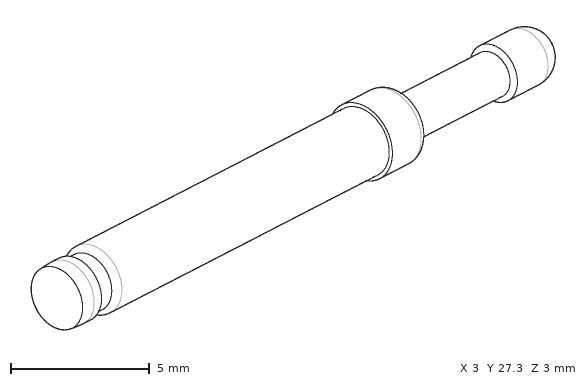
import cadquery as cq
import math

LENGTH = 27.3

HEAD_DIAMETER = 2.25
PLUNGER_DIAMETER = 1.77
COLLAR_DIAMETER = 3.0
BARREL_DIAMETER = 2.7
NECK_DIAMETER = 2.25
TAIL_DIAMETER = 2.5
TAIL_END_DIAMETER = 2.43

HEAD_LENGTH = 2.98
COLLAR_LENGTH = 2.02
TAIL_LENGTH = 1.0
NECK_LENGTH = 0.75
PLUNGER_LENGTH = 5.3

HEAD_TAPER_LENGTH = 0.15
COLLAR_FILLET = 0.4
BARREL_FILLET = 0.3
TAIL_CROWN_LENGTH = 0.6

barrel_start = TAIL_LENGTH + NECK_LENGTH
head_start = LENGTH - HEAD_LENGTH
collar_end = head_start - PLUNGER_LENGTH
collar_start = collar_end - COLLAR_LENGTH

head_radius = HEAD_DIAMETER / 2
plunger_radius = PLUNGER_DIAMETER / 2
collar_radius = COLLAR_DIAMETER / 2
barrel_radius = BARREL_DIAMETER / 2
neck_radius = NECK_DIAMETER / 2
tail_radius = TAIL_DIAMETER / 2
tail_end_radius = TAIL_END_DIAMETER / 2

crown_drop = tail_radius - tail_end_radius
crown_arc_radius = (TAIL_CROWN_LENGTH**2 + crown_drop**2) / (2 * crown_drop)


def add_arc(profile, center, radius, start_angle, end_angle):
    """Continue the profile along an arc; angles are in degrees from +X."""
    middle_angle = (start_angle + end_angle) / 2
    middle, end = [
        (
            center[0] + radius * math.cos(math.radians(angle)),
            center[1] + radius * math.sin(math.radians(angle)),
        )
        for angle in (middle_angle, end_angle)
    ]
    return profile.threePointArc(middle, end)


def tail_end():
    """Half profile of the crowned tail and the neck, from the axis outwards."""
    return (
        cq.Workplane("XY")
        .lineTo(tail_end_radius, 0)
        .radiusArc((tail_radius, TAIL_CROWN_LENGTH), -crown_arc_radius)
        .lineTo(tail_radius, TAIL_LENGTH)
        .lineTo(neck_radius, TAIL_LENGTH)
        .lineTo(neck_radius, barrel_start)
    )


def add_barrel(profile):
    """Barrel with a rounded rear edge and the collar with a rounded front edge."""
    rear_axis = barrel_radius - BARREL_FILLET
    rear_angle = math.acos((neck_radius - rear_axis) / BARREL_FILLET)
    rear_center = (rear_axis, barrel_start + BARREL_FILLET * math.sin(rear_angle))
    front_center = (collar_radius - COLLAR_FILLET, collar_end - COLLAR_FILLET)
    profile = add_arc(profile, rear_center, BARREL_FILLET, -math.degrees(rear_angle), 0)
    profile = (
        profile
        .lineTo(barrel_radius, collar_start)
        .lineTo(collar_radius, collar_start)
        .lineTo(collar_radius, collar_end - COLLAR_FILLET)
    )
    return add_arc(profile, front_center, COLLAR_FILLET, 0, 90)


def add_plunger(profile):
    """Plunger rod and its head, tapered at the rear and hemispherical in front."""
    dome_start = LENGTH - head_radius
    profile = (
        profile
        .lineTo(plunger_radius, collar_end)
        .lineTo(plunger_radius, head_start)
        .lineTo(head_radius, head_start + HEAD_TAPER_LENGTH)
        .lineTo(head_radius, dome_start)
    )
    return add_arc(profile, (0, dome_start), head_radius, 0, 90)


half_profile = add_plunger(add_barrel(tail_end())).close()
result = half_profile.revolve(360, (0, 0, 0), (0, 1, 0))